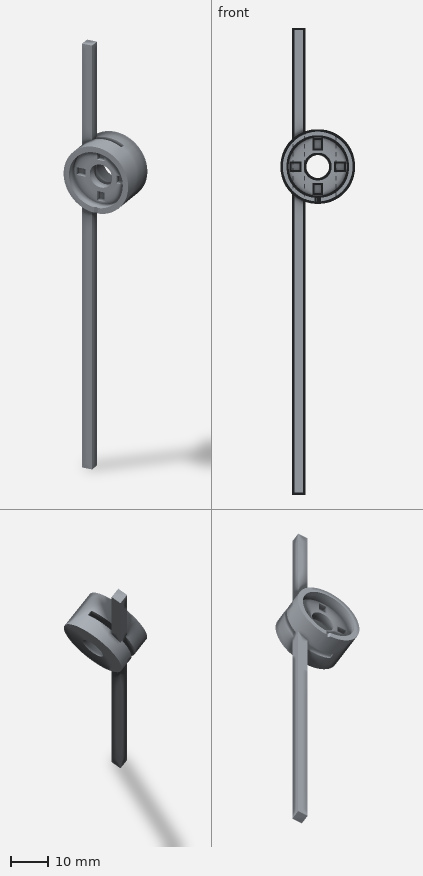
import cadquery as cq

wheel_radius = 9.8
wheel_width = 11.4
bore_radius = 3.4
recess_radius = 8.1
recess_depth = 3.0
front_y = -wheel_width / 2
recess_floor_y = front_y + recess_depth

pocket_count = 4
pocket_length = 2.8
pocket_width = 2.2
pocket_depth = 1.5
pocket_offset = 6.0

notch_width = 1.2
notch_depth = notch_width / 2

rod_size = 3.0
rod_length = 125
rod_x = -5.1
rod_y = 0.6
rod_bottom_z = -88.0

slot_width = 1.5
slot_end_x = 4.9


def make_rod():
    return (
        cq.Workplane("XY")
        .box(rod_size, rod_size, rod_length, centered=(True, True, False))
        .translate((rod_x, rod_y, rod_bottom_z))
    )


def make_cylinder(radius, length, start_y):
    """Cylinder on the wheel axis, from start_y toward +Y."""
    return cq.Workplane("XZ", origin=(0, start_y, 0)).circle(radius).extrude(-length)


def make_pockets():
    """Radial pockets, equally spaced about the wheel axis."""
    pockets = cq.Workplane("XZ", origin=(0, recess_floor_y, 0))
    pockets = pockets.polarArray(pocket_offset, 0, 360, pocket_count)
    return pockets.rect(pocket_length, pocket_width).extrude(-pocket_depth)


def make_slot():
    slot_length = wheel_radius + slot_end_x
    return (
        cq.Workplane("XY")
        .box(slot_length, slot_width, 2 * wheel_radius)
        .translate((slot_end_x - slot_length / 2, rod_y, 0))
    )


def make_notch():
    half_width = notch_width / 2
    corners = [(-half_width, front_y), (half_width, front_y), (0, front_y + notch_depth)]
    return cq.Workplane("XY").polyline(corners).close().extrude(-wheel_radius)


def make_wheel():
    wheel = make_cylinder(wheel_radius, wheel_width, front_y)
    wheel = wheel.cut(make_cylinder(bore_radius, wheel_width, front_y))
    wheel = wheel.cut(make_cylinder(recess_radius, recess_depth, front_y))
    wheel = wheel.cut(make_pockets())
    wheel = wheel.cut(make_notch())
    wheel = wheel.cut(make_slot())
    return wheel.cut(make_rod())


wheel = make_wheel()
rod = make_rod()

result = cq.Compound.makeCompound([wheel.val(), rod.val()])